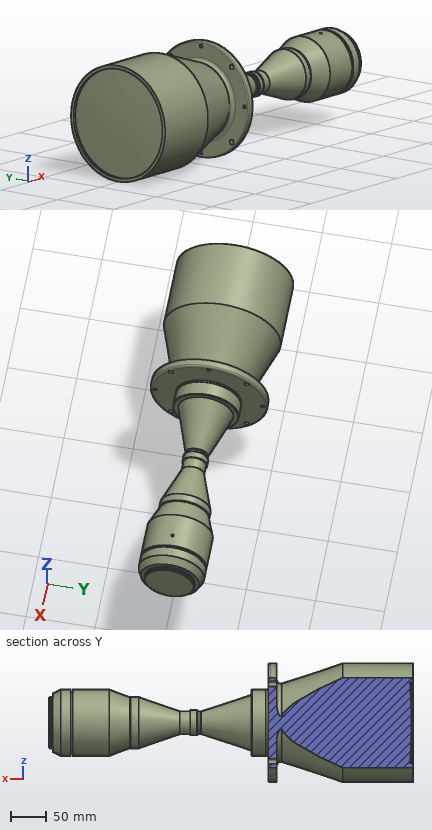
import cadquery as cq
import math

LENGTH = 517.5
FRONT_RADIUS = 84.6

BARREL_END = 100.0
CONE_END = 187.0
CONE_END_RADIUS = 56.0

GLASS_RADIUS = 79.5
GLASS_SAG = 4.0

FLANGE_START = 193.5
FLANGE_END = 206.0
FLANGE_FRONT_ROUND = 1.5
FLANGE_REAR_ROUND = 3.0
FLANGE_ROOT_FILLET = 5.0
HOLES_PER_SET = 4
LARGE_HOLE_DIAMETER = 6.5
SMALL_HOLE_DIAMETER = 4.5
HOLE_CIRCLE_RADIUS = 77.5

JOINT_STEP = 0.25

BODY_RADIUS = 47.5
COLLAR_START = 209.0
COLLAR_END = 230.0
COLLAR_CHAMFER = 1.0

FRONT_WAIST_CONE_RADIUS = 40.0
WAIST_START = 301.0
WAIST_STEP = 303.0
WAIST_END = 332.0
WAIST_RADIUS = 16.5
WAIST_RING_START = 306.5
WAIST_RING_END = 316.5
WAIST_RING_RADIUS = 18.0
WAIST_RING_CHAMFER = 1.0

REAR_BAND_START = 390.0
REAR_BAND_END = 401.0
REAR_CONE_START = 402.5
REAR_BAND_RADIUS = 37.0
REAR_BARREL_START = 432.0

GROOVE_START = 483.5
GROOVE_END = 486.5
GROOVE_RADIUS = 44.0

REAR_TAPER_START = 500.5
REAR_TAPER_END = 512.0
REAR_TAPER_END_RADIUS = 42.0
MOUNT_START = 513.5
MOUNT_RADIUS = 37.0
MOUNT_RELIEF = 0.5
MOUNT_CHAMFER = 1.5

DOT_X = 466.5
DOT_Y = -4.5
DOT_DIAMETER = 3.0
DOT_DEPTH = 1.0


def round_offset(radius):
    """Inset, along both sides of a square corner, of the middle of its rounding arc."""
    return radius * (1 - math.sqrt(0.5))


def lens_body():
    """Revolve the half outline, drawn as (X, radius), about the X axis."""
    front_mid = round_offset(FLANGE_FRONT_ROUND)
    rear_mid = round_offset(FLANGE_REAR_ROUND)
    root_mid = round_offset(FLANGE_ROOT_FILLET)
    glass_sphere = (GLASS_RADIUS**2 + GLASS_SAG**2) / (2 * GLASS_SAG)
    glass_mid_radius = GLASS_RADIUS / 2
    glass_mid_x = glass_sphere - math.sqrt(glass_sphere**2 - glass_mid_radius**2)

    outline = (
        cq.Workplane("XY")
        .moveTo(0, 0)
        .threePointArc((glass_mid_x, glass_mid_radius), (GLASS_SAG, GLASS_RADIUS))
        .lineTo(0, GLASS_RADIUS)
        .lineTo(0, FRONT_RADIUS)
        .lineTo(BARREL_END, FRONT_RADIUS)
        .lineTo(CONE_END, CONE_END_RADIUS)
        .lineTo(FLANGE_START - FLANGE_ROOT_FILLET, CONE_END_RADIUS)
        .threePointArc(
            (FLANGE_START - root_mid, CONE_END_RADIUS + root_mid),
            (FLANGE_START, CONE_END_RADIUS + FLANGE_ROOT_FILLET),
        )
        .lineTo(FLANGE_START, FRONT_RADIUS - FLANGE_FRONT_ROUND)
        .threePointArc(
            (FLANGE_START + front_mid, FRONT_RADIUS - front_mid),
            (FLANGE_START + FLANGE_FRONT_ROUND, FRONT_RADIUS),
        )
        .lineTo(FLANGE_END - FLANGE_REAR_ROUND, FRONT_RADIUS)
        .threePointArc(
            (FLANGE_END - rear_mid, FRONT_RADIUS - rear_mid),
            (FLANGE_END, FRONT_RADIUS - FLANGE_REAR_ROUND),
        )
        .lineTo(FLANGE_END, BODY_RADIUS - JOINT_STEP)
        .lineTo(COLLAR_START, BODY_RADIUS - JOINT_STEP)
        .lineTo(COLLAR_START, BODY_RADIUS)
        .lineTo(COLLAR_END - COLLAR_CHAMFER, BODY_RADIUS)
        .lineTo(COLLAR_END, BODY_RADIUS - COLLAR_CHAMFER)
        .lineTo(COLLAR_END, FRONT_WAIST_CONE_RADIUS)
        .lineTo(WAIST_START, WAIST_RADIUS - JOINT_STEP)
        .lineTo(WAIST_STEP, WAIST_RADIUS - JOINT_STEP)
        .lineTo(WAIST_STEP, WAIST_RADIUS)
        .lineTo(WAIST_RING_START, WAIST_RADIUS)
        .lineTo(WAIST_RING_START, WAIST_RING_RADIUS - WAIST_RING_CHAMFER)
        .lineTo(WAIST_RING_START + WAIST_RING_CHAMFER, WAIST_RING_RADIUS)
        .lineTo(WAIST_RING_END, WAIST_RING_RADIUS)
        .lineTo(WAIST_RING_END, WAIST_RADIUS)
        .lineTo(WAIST_END, WAIST_RADIUS)
        .lineTo(REAR_BAND_START, REAR_BAND_RADIUS)
        .lineTo(REAR_BAND_END, REAR_BAND_RADIUS)
        .lineTo(REAR_BAND_END, REAR_BAND_RADIUS - JOINT_STEP)
        .lineTo(REAR_CONE_START, REAR_BAND_RADIUS - JOINT_STEP)
        .lineTo(REAR_BARREL_START, BODY_RADIUS)
        .lineTo(GROOVE_START, BODY_RADIUS)
        .lineTo(GROOVE_START, GROOVE_RADIUS)
        .lineTo(GROOVE_END, GROOVE_RADIUS)
        .lineTo(GROOVE_END, BODY_RADIUS)
        .lineTo(REAR_TAPER_START, BODY_RADIUS)
        .lineTo(REAR_TAPER_END, REAR_TAPER_END_RADIUS)
        .lineTo(REAR_TAPER_END, MOUNT_RADIUS - MOUNT_RELIEF)
        .lineTo(MOUNT_START, MOUNT_RADIUS - MOUNT_RELIEF)
        .lineTo(MOUNT_START, MOUNT_RADIUS)
        .lineTo(LENGTH - MOUNT_CHAMFER, MOUNT_RADIUS)
        .lineTo(LENGTH, MOUNT_RADIUS - MOUNT_CHAMFER)
        .lineTo(LENGTH, 0)
        .close()
    )
    return outline.revolve(360, (0, 0, 0), (1, 0, 0))


def flange_holes(diameter, start_angle):
    """One set of through holes evenly spaced around the flange."""
    return (
        cq.Workplane("YZ", origin=(FLANGE_START, 0, 0))
        .polarArray(HOLE_CIRCLE_RADIUS, start_angle, 360, HOLES_PER_SET)
        .circle(diameter / 2)
        .extrude(FLANGE_END - FLANGE_START)
    )


def index_dot():
    """Shallow round recess in the top of the rear barrel."""
    surface_z = math.sqrt(BODY_RADIUS**2 - DOT_Y**2)
    return (
        cq.Workplane("XY", origin=(DOT_X, DOT_Y, surface_z - DOT_DEPTH))
        .circle(DOT_DIAMETER / 2)
        .extrude(2 * DOT_DEPTH)
    )


result = (
    lens_body()
    .cut(flange_holes(SMALL_HOLE_DIAMETER, 0))
    .cut(flange_holes(LARGE_HOLE_DIAMETER, 180 / HOLES_PER_SET))
    .cut(index_dot())
)